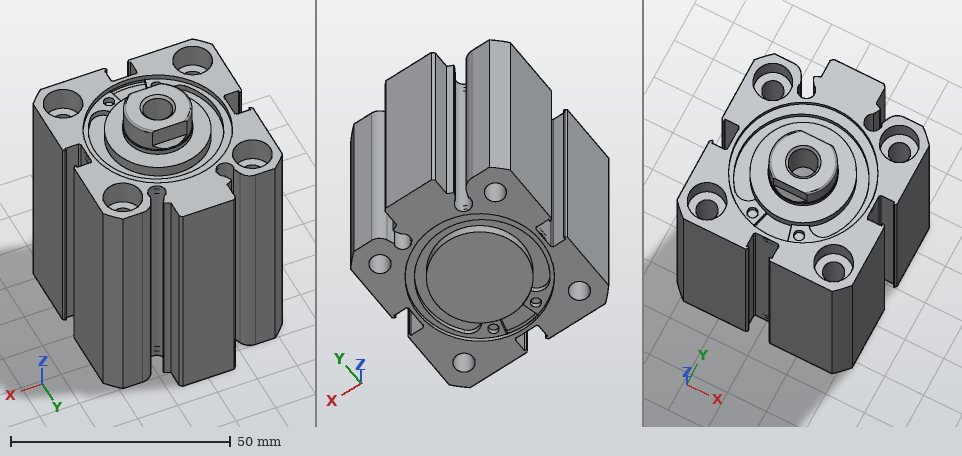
import cadquery as cq
import math


width = 45.0
half_width = width / 2
housing_height = 55.9
corner_circle_radius = 29.5
bore_diameter = 34.0

bolt_offset = 16.25
bolt_hole_diameter = 5.05
counterbore_diameter = 9.0
counterbore_depth = 6.2

slot_width = 6.5
slot_opening = 5.3
slot_depth = 4.55
slot_lip = 0.75
slot_floor_chamfer = 0.4
slot_edge_chamfer = 0.45

rail_top = 27.5
rail_width = 14.1
rail_chamfer = 0.6
channel_x = 8.55
channel_y = 18.1
channel_radius = 2.1
channel_start_angle = math.radians(10)
channel_neck_angle = math.radians(117)
ear_foot = (10.4, 18.65)
ear_radius = 3.3
ear_start_x = 14.2
ear_turn = math.radians(67)
barb_low = (8.5, 21.4)
barb_high = (8.5, 21.8)

ring_inset = 1.25
ring_thickness = 1.5
ring_outer_radius = 17.75
ring_inner_radius = 15.45
ring_inner_drop = 0.95
ring_lug_radius = 12.4
ring_fillet_x = 9.6
ring_fillet_radius = 3.15
ring_gap_half_angle = 15.0
lug_hole_diameter = 2.5
lug_hole_orbit = 14.8
lug_hole_angle = 23.8
ring_levels = (ring_inset, housing_height - ring_inset - ring_thickness)

cover_boss_diameter = 24.3
cover_flange_thickness = 5.05
cover_boss_height = ring_inset + ring_thickness

total_height = 63.0
rod_diameter = 16.0
rod_shoulder_height = 1.4
rod_shoulder_chamfer = 0.2
rod_end_diameter = 15.6
rod_end_fillet = 0.45
flat_spacing = 13.05
flat_length = 4.55
thread_hole_diameter = 6.8
thread_hole_depth = 13.0
thread_hole_chamfer = 0.6
drill_point_angle = math.radians(118)


def make_slot():
    """T-slot cutter for the -Y side, running the full height."""
    floor_y = slot_depth - half_width
    lip_y = slot_lip - half_width
    lip_x = slot_opening / 2
    cavity = (
        cq.Workplane("XY")
        .center(0, (floor_y + lip_y) / 2)
        .rect(slot_width, floor_y - lip_y)
        .extrude(housing_height)
        .edges("|Z and >Y")
        .chamfer(slot_floor_chamfer)
    )
    opening = (
        cq.Workplane("XY")
        .moveTo(-lip_x, lip_y)
        .lineTo(lip_x, lip_y)
        .lineTo(lip_x, slot_edge_chamfer - half_width)
        .lineTo(lip_x + slot_edge_chamfer, -half_width)
        .lineTo(-lip_x - slot_edge_chamfer, -half_width)
        .lineTo(-lip_x, slot_edge_chamfer - half_width)
        .close()
        .extrude(housing_height)
    )
    return cavity.union(opening)


def make_channel():
    """Sensor channel cutter on the +X side of the rail."""
    ear_end_x = ear_start_x - ear_radius * math.sin(ear_turn)
    ear_end_y = half_width - ear_radius * (1 - math.cos(ear_turn))
    ear_mid_x = ear_start_x - ear_radius * math.sin(ear_turn / 2)
    ear_mid_y = half_width - ear_radius * (1 - math.cos(ear_turn / 2))
    start_x = channel_x + channel_radius * math.cos(channel_start_angle)
    start_y = channel_y + channel_radius * math.sin(channel_start_angle)
    neck_x = channel_x + channel_radius * math.cos(channel_neck_angle)
    neck_y = channel_y + channel_radius * math.sin(channel_neck_angle)
    return (
        cq.Workplane("XY")
        .moveTo(ear_start_x, half_width)
        .threePointArc((ear_mid_x, ear_mid_y), (ear_end_x, ear_end_y))
        .lineTo(*ear_foot)
        .lineTo(start_x, start_y)
        .threePointArc((channel_x, channel_y - channel_radius), (neck_x, neck_y))
        .lineTo(*barb_low)
        .lineTo(*barb_high)
        .lineTo(rail_width / 2, half_width)
        .close()
        .extrude(housing_height)
    )


def make_housing():
    block = cq.Workplane("XY").rect(width, width).extrude(housing_height)
    rounding = cq.Workplane("XY").circle(corner_circle_radius).extrude(housing_height)
    housing = block.intersect(rounding)

    channel = make_channel()
    housing = housing.cut(channel).cut(channel.mirror("YZ"))
    rail = (
        cq.Workplane("XY")
        .center(0, (half_width + rail_top) / 2)
        .rect(rail_width, rail_top - half_width)
        .extrude(housing_height)
        .edges("|Z and >Y")
        .chamfer(rail_chamfer)
    )
    housing = housing.union(rail)

    slot = make_slot()
    for angle in (-90, 0, 90):
        housing = housing.cut(slot.rotate((0, 0, 0), (0, 0, 1), angle))

    housing = (
        housing.faces(">Z")
        .workplane(origin=(0, 0, housing_height))
        .rect(2 * bolt_offset, 2 * bolt_offset, forConstruction=True)
        .vertices()
        .cboreHole(bolt_hole_diameter, counterbore_diameter, counterbore_depth)
    )
    bore = cq.Workplane("XY").circle(bore_diameter / 2).extrude(housing_height)
    housing = housing.cut(bore)
    for level in ring_levels:
        ring_groove = (
            cq.Workplane("XY").workplane(offset=level).circle(ring_outer_radius).extrude(ring_thickness)
        )
        housing = housing.cut(ring_groove)
    return housing


def make_ring_opening():
    """Inner outline of a retaining ring: an eccentric arc, a fillet at each lug and the lug arc."""
    fillet_y = -ring_inner_drop - math.sqrt((ring_inner_radius - ring_fillet_radius) ** 2 - ring_fillet_x**2)
    touch_scale = ring_inner_radius / (ring_inner_radius - ring_fillet_radius)
    touch_x = ring_fillet_x * touch_scale
    touch_y = -ring_inner_drop + (fillet_y + ring_inner_drop) * touch_scale
    fillet_orbit = math.hypot(ring_fillet_x, fillet_y)
    crossing = math.acos(
        (fillet_orbit**2 + ring_lug_radius**2 - ring_fillet_radius**2)
        / (2 * fillet_orbit * ring_lug_radius)
    )
    lug_tip_angle = math.atan2(ring_fillet_x, -fillet_y) - crossing
    lug_tip_x = ring_lug_radius * math.sin(lug_tip_angle)
    lug_tip_y = -ring_lug_radius * math.cos(lug_tip_angle)
    fillet_low_y = fillet_y - ring_fillet_radius
    return (
        cq.Workplane("XY")
        .moveTo(-touch_x, touch_y)
        .threePointArc((0, ring_inner_radius - ring_inner_drop), (touch_x, touch_y))
        .threePointArc((ring_fillet_x, fillet_low_y), (lug_tip_x, lug_tip_y))
        .threePointArc((0, -ring_lug_radius), (-lug_tip_x, lug_tip_y))
        .threePointArc((-ring_fillet_x, fillet_low_y), (-touch_x, touch_y))
        .close()
        .extrude(ring_thickness)
    )


def make_retaining_ring(level):
    """Snap ring with its lower face at the given height and its gap towards -Y."""
    ring = cq.Workplane("XY").circle(ring_outer_radius).extrude(ring_thickness)
    ring = ring.cut(make_ring_opening())
    gap_half_width = ring_outer_radius * math.tan(math.radians(ring_gap_half_angle))
    gap = (
        cq.Workplane("XY")
        .polyline([(0, 0), (gap_half_width, -ring_outer_radius), (-gap_half_width, -ring_outer_radius)])
        .close()
        .extrude(ring_thickness)
    )
    hole_x = lug_hole_orbit * math.sin(math.radians(lug_hole_angle))
    hole_y = -lug_hole_orbit * math.cos(math.radians(lug_hole_angle))
    lug_holes = (
        cq.Workplane("XY")
        .pushPoints([(-hole_x, hole_y), (hole_x, hole_y)])
        .circle(lug_hole_diameter / 2)
        .extrude(ring_thickness)
    )
    return ring.cut(gap).cut(lug_holes).translate((0, 0, level))


def make_rear_cover():
    """Plain cover at the bottom, its boss flush with the housing and its flange inside the ring."""
    return (
        cq.Workplane("XY")
        .circle(cover_boss_diameter / 2)
        .extrude(cover_boss_height)
        .faces(">Z")
        .workplane()
        .circle(bore_diameter / 2)
        .extrude(cover_flange_thickness)
    )


def make_front_cover():
    """Same cover turned over at the top, bored for the piston rod."""
    cover = make_rear_cover().mirror("XY").translate((0, 0, housing_height))
    rod_passage = cq.Workplane("XY").circle(rod_diameter / 2).extrude(housing_height)
    return cover.cut(rod_passage)


def make_rod():
    """Stepped rod standing on the rear cover, with wrench flats and a blind hole in its end."""
    foot_z = cover_boss_height + cover_flange_thickness
    shoulder_z = housing_height + rod_shoulder_height
    rod = (
        cq.Workplane("XY")
        .workplane(offset=foot_z)
        .circle(rod_diameter / 2)
        .extrude(shoulder_z - foot_z)
        .faces(">Z")
        .chamfer(rod_shoulder_chamfer)
    )
    rod_end = (
        cq.Workplane("XY")
        .workplane(offset=shoulder_z)
        .circle(rod_end_diameter / 2)
        .extrude(total_height - shoulder_z)
        .faces(">Z")
        .edges()
        .fillet(rod_end_fillet)
    )

    flat_y = flat_spacing / 2
    flat_foot_z = total_height - flat_length
    runout = flat_foot_z - shoulder_z
    flat = (
        cq.Workplane("YZ")
        .moveTo(flat_y, total_height)
        .lineTo(flat_y, flat_foot_z)
        .lineTo(flat_y + runout, shoulder_z)
        .lineTo(rod_diameter, shoulder_z)
        .lineTo(rod_diameter, total_height)
        .close()
        .extrude(rod_diameter / 2, both=True)
    )
    rod = rod.union(rod_end.cut(flat).cut(flat.mirror("XZ")))

    hole_radius = thread_hole_diameter / 2
    mouth_radius = hole_radius + thread_hole_chamfer
    hole_foot_z = total_height - thread_hole_depth
    hole_tip_z = hole_foot_z - hole_radius / math.tan(drill_point_angle / 2)
    thread_hole = (
        cq.Workplane("XZ")
        .moveTo(0, total_height)
        .lineTo(mouth_radius, total_height)
        .lineTo(hole_radius, total_height - thread_hole_chamfer)
        .lineTo(hole_radius, hole_foot_z)
        .lineTo(0, hole_tip_z)
        .close()
        .revolve(360, (0, 0, 0), (0, 1, 0))
    )
    return rod.cut(thread_hole)


housing = make_housing()
rear_cover = make_rear_cover()
front_cover = make_front_cover()
retaining_rings = [make_retaining_ring(level) for level in ring_levels]
rod = make_rod()

result = cq.Compound.makeCompound(
    [
        housing.val(),
        rear_cover.val(),
        front_cover.val(),
        *[ring.val() for ring in retaining_rings],
        rod.val(),
    ]
)